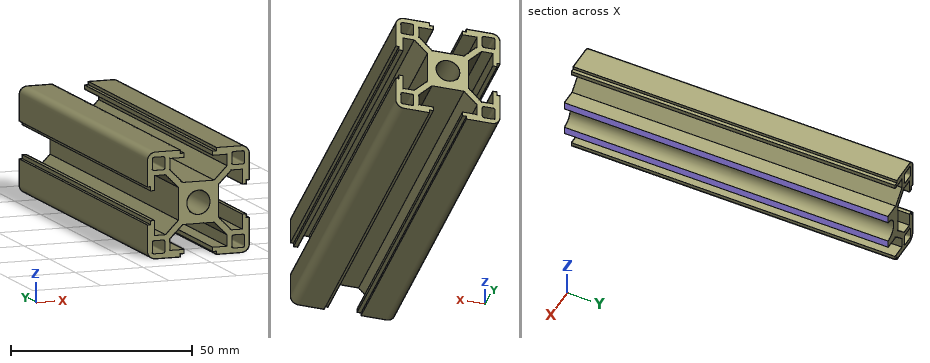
import cadquery as cq

length = 100.0
side = 30.0
half_side = side / 2
corner_radius = 2.4

slot_mouth_half = 5.3
slot_throat_half = 4.2
lip_step_depth = 0.9
lip_thickness = 2.1
cavity_half = 8.4
cavity_wall_end = 9.7
core_half = 5.9
floor_half = core_half - (cavity_wall_end - cavity_half)

bore_diameter = 6.8
corner_hole_side = 3.7
corner_hole_radius = 0.6
corner_hole_offset = 11.7


def make_bar():
    return (
        cq.Workplane("XZ")
        .rect(side, side)
        .extrude(length / 2, both=True)
        .edges("|Y")
        .fillet(corner_radius)
    )


def make_slot():
    """Slot opening toward +Z, running the full length."""
    step_height = half_side - lip_step_depth
    lip_underside = half_side - lip_thickness
    right_side = [
        (slot_mouth_half, half_side),
        (slot_mouth_half, step_height),
        (slot_throat_half, step_height),
        (slot_throat_half, lip_underside),
        (cavity_half, lip_underside),
        (cavity_half, cavity_wall_end),
        (floor_half, core_half),
    ]
    left_side = [(-x, z) for x, z in reversed(right_side)]
    return (
        cq.Workplane("XZ")
        .polyline(right_side + left_side)
        .close()
        .extrude(length / 2, both=True)
    )


def make_corner_holes():
    spacing = 2 * corner_hole_offset
    return (
        cq.Workplane("XZ")
        .rect(spacing, spacing, forConstruction=True)
        .vertices()
        .rect(corner_hole_side, corner_hole_side)
        .extrude(length / 2, both=True)
        .edges("|Y")
        .fillet(corner_hole_radius)
    )


def make_bore():
    return cq.Workplane("XZ").circle(bore_diameter / 2).extrude(length / 2, both=True)


result = make_bar()
slot = make_slot()
for angle in (0, 90, 180, 270):
    result = result.cut(slot.rotate((0, 0, 0), (0, 1, 0), angle))
result = result.cut(make_corner_holes()).cut(make_bore())